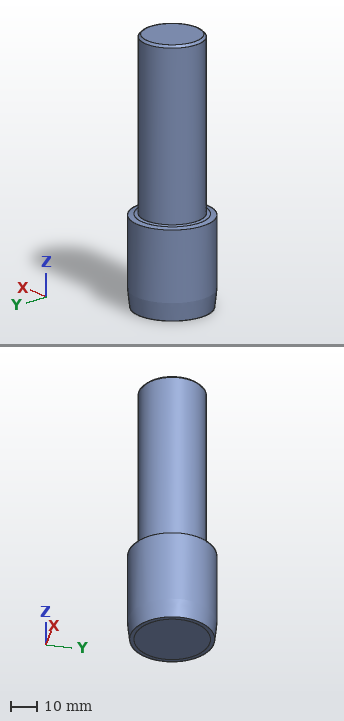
import cadquery as cq

total_height = 110.0

pin_radius = 13.0
tip_chamfer = 1.0
foot_radius = 14.5

sleeve_radius = 17.0
lead_height = 7.5
lead_end_radius = 16.2
lead_bulge = 0.05

shoulder_outer_height = 37.1
shoulder_rise = 0.7
shoulder_inner_height = shoulder_outer_height + shoulder_rise
shoulder_slope = shoulder_rise / (sleeve_radius - pin_radius)
joint_height = shoulder_outer_height + shoulder_slope * (sleeve_radius - foot_radius)


def revolve_about_z(profile):
    """Turn a closed radius-height profile into a solid around the Z axis."""
    return profile.revolve(360, (0, 0, 0), (0, 1, 0))


def make_pin():
    """Pin with a chamfered tip and a wider foot that ends in the sloping shoulder."""
    profile = (
        cq.Workplane("XZ")
        .lineTo(foot_radius, 0)
        .lineTo(foot_radius, joint_height)
        .lineTo(pin_radius, shoulder_inner_height)
        .lineTo(pin_radius, total_height - tip_chamfer)
        .lineTo(pin_radius - tip_chamfer, total_height)
        .lineTo(0, total_height)
        .close()
    )
    return revolve_about_z(profile)


def make_sleeve():
    """Sleeve around the pin foot, with a sloping top and a curved lead-in at the bottom."""
    lead_middle_radius = (lead_end_radius + sleeve_radius) / 2 + lead_bulge
    profile = (
        cq.Workplane("XZ")
        .moveTo(foot_radius, 0)
        .lineTo(lead_end_radius, 0)
        .threePointArc((lead_middle_radius, lead_height / 2), (sleeve_radius, lead_height))
        .lineTo(sleeve_radius, shoulder_outer_height)
        .lineTo(foot_radius, joint_height)
        .close()
    )
    return revolve_about_z(profile)


pin = make_pin()
sleeve = make_sleeve()

result = cq.Compound.makeCompound([pin.val(), sleeve.val()])